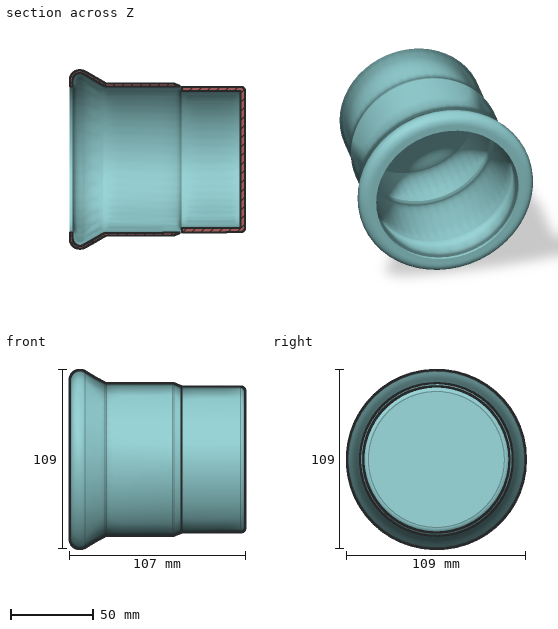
import cadquery as cq
import math

length = 107.0
rim_radius = 54.5
bead_radius = 6.3
flare_angle = math.radians(30)
body_radius = 93.0 / 2
spigot_radius = 88.9 / 2
spigot_wall = 3.0
taper_start = 63.2
taper_end = 68.2
flare_blend = 1.6
taper_start_blend = 2.2
taper_end_blend = 1.1
end_round = 3.1

socket_radius = spigot_radius
socket_wall = body_radius - socket_radius
bead_center_x = bead_radius
bead_center_r = rim_radius - bead_radius
spigot_bore_radius = spigot_radius - spigot_wall
floor_x = length - spigot_wall


def bead_point(radius, angle):
    """Point of the bead section, with the angle measured from radial towards +X."""
    x = bead_center_x + radius * math.sin(angle)
    r = bead_center_r + radius * math.cos(angle)
    return (x, r)


def flare_end(radius, end_radius):
    """X where the cone tangent to the bead arc reaches end_radius."""
    x, r = bead_point(radius, flare_angle)
    return x + (r - end_radius) / math.tan(flare_angle)


def bead_and_flare(front_x, inner_r, arc_radius, end_radius):
    """Start a half section: front face, bead arc, then the tangent cone."""
    middle_angle = (flare_angle - math.pi / 2) / 2
    return (
        cq.Workplane("XY")
        .moveTo(front_x, 0)
        .lineTo(front_x, inner_r)
        .threePointArc(bead_point(arc_radius, middle_angle), bead_point(arc_radius, flare_angle))
        .lineTo(flare_end(arc_radius, end_radius), end_radius)
    )


def revolve_section(section):
    return section.close().revolve(360, (0, 0, 0), (1, 0, 0))


def blend_ring(solid, x, radius, blend):
    """Round the circular edge at the given axial position and radius."""
    margin = 0.1
    reach = radius + margin
    box = cq.selectors.BoxSelector(
        (x - margin, -reach, -reach), (x + margin, reach, reach), boundingbox=True
    )
    return solid.edges(box).fillet(blend)


def make_outside():
    outside = revolve_section(
        bead_and_flare(0, bead_center_r, bead_radius, body_radius)
        .lineTo(taper_start, body_radius)
        .lineTo(taper_end, spigot_radius)
        .lineTo(length, spigot_radius)
        .lineTo(length, 0)
    )
    outside = blend_ring(outside, flare_end(bead_radius, body_radius), body_radius, flare_blend)
    outside = blend_ring(outside, taper_start, body_radius, taper_start_blend)
    outside = blend_ring(outside, taper_end, spigot_radius, taper_end_blend)
    return blend_ring(outside, length, spigot_radius, end_round)


def make_seal_groove():
    """Space inside the bead and flare, running into the socket bore."""
    groove_radius = bead_radius - socket_wall
    groove_end = flare_end(groove_radius, socket_radius)
    groove = revolve_section(
        bead_and_flare(socket_wall, bead_center_r, groove_radius, socket_radius)
        .lineTo(taper_end, socket_radius)
        .lineTo(taper_end, 0)
    )
    return blend_ring(groove, groove_end, socket_radius, flare_blend + socket_wall)


def make_bore(radius, end_x):
    return cq.Workplane("YZ").circle(radius).extrude(end_x)


result = (
    make_outside()
    .cut(make_seal_groove())
    .cut(make_bore(socket_radius, socket_wall))
    .cut(make_bore(spigot_bore_radius, floor_x))
)